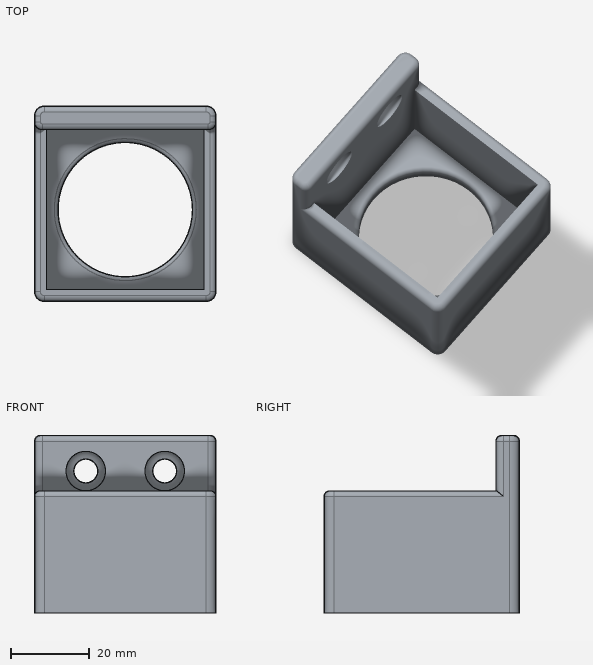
import cadquery as cq

width = 46.0
depth = 49.5
plate_height = 45.0
box_height = 31.0
wall = 3.0
floor_thickness = 4.0
plate_thickness = 6.0

opening_diameter = 34.0
opening_rim_fillet = 1.0

screw_diameter = 6.0
counterbore_diameter = 10.0
counterbore_depth = 3.7
screw_spacing = 20.0
screw_height = box_height + counterbore_diameter / 2

corner_radius = 2.48
plate_edge_radius = 2.0
top_radius = 1.5

select_margin = 0.5

front_y = -depth / 2
back_y = depth / 2
plate_front_y = back_y - plate_thickness
cavity_front_y = front_y + wall
cavity_length = plate_front_y - cavity_front_y
cavity_center_y = (plate_front_y + cavity_front_y) / 2


def make_body():
    """L-shaped side profile extruded across the width, with its outer edges rounded."""
    body = (
        cq.Workplane("YZ")
        .moveTo(front_y, 0)
        .lineTo(back_y, 0)
        .lineTo(back_y, plate_height)
        .lineTo(plate_front_y, plate_height)
        .lineTo(plate_front_y, box_height)
        .lineTo(front_y, box_height)
        .close()
        .extrude(width / 2, both=True)
    )
    body = body.edges("|Z and (<Y or >Y)").fillet(corner_radius)
    plate_edges = cq.selectors.BoxSelector(
        (-width, plate_front_y - select_margin, box_height + select_margin),
        (width, plate_front_y + select_margin, plate_height - select_margin),
    )
    body = body.edges("|Z").edges(plate_edges).fillet(plate_edge_radius)
    body = body.faces(">Z").edges().fillet(top_radius)
    rim_edges = cq.selectors.BoxSelector(
        (-width, front_y - select_margin, box_height - select_margin),
        (width, plate_front_y - select_margin, box_height + select_margin),
    )
    return body.edges(rim_edges).fillet(top_radius)


def make_cavity():
    return (
        cq.Workplane("XY", origin=(0, cavity_center_y, floor_thickness))
        .rect(width - 2 * wall, cavity_length)
        .extrude(plate_height)
    )


def make_opening():
    """Hole through the floor, flaring out at the top along a rounded rim."""
    radius = opening_diameter / 2
    arc_offset = opening_rim_fillet * (1 - 0.5**0.5)
    profile = (
        cq.Workplane("XZ")
        .lineTo(radius, 0)
        .lineTo(radius, floor_thickness - opening_rim_fillet)
        .threePointArc(
            (radius + arc_offset, floor_thickness - arc_offset),
            (radius + opening_rim_fillet, floor_thickness),
        )
        .lineTo(0, floor_thickness)
        .close()
    )
    return profile.revolve(360, (0, 0), (0, 1)).translate((0, cavity_center_y, 0))


def make_screw_hole(x):
    """Through hole along Y with its counterbore on the plate's front face."""
    start = cq.Workplane("XZ", origin=(x, plate_front_y, screw_height))
    shank = start.circle(screw_diameter / 2).extrude(-plate_thickness)
    counterbore = start.circle(counterbore_diameter / 2).extrude(-counterbore_depth)
    return shank.union(counterbore)


result = make_body().cut(make_cavity()).cut(make_opening())
for side in (-1, 1):
    result = result.cut(make_screw_hole(side * screw_spacing / 2))